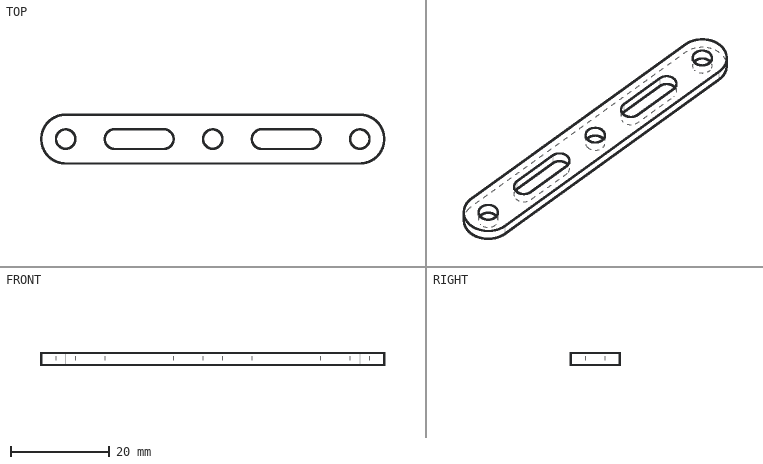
import cadquery as cq

length = 70.0
width = 10.0
thickness = 2.5

hole_diameter = 3.9
slot_length = 14.0
slot_width = 4.0

end_hole_x = (length - width) / 2
slot_x = end_hole_x / 2

bar = cq.Workplane("XY").slot2D(length, width).extrude(thickness)

holes = (
    cq.Workplane("XY")
    .pushPoints([(-end_hole_x, 0), (0, 0), (end_hole_x, 0)])
    .circle(hole_diameter / 2)
    .extrude(thickness)
)

slots = (
    cq.Workplane("XY")
    .pushPoints([(-slot_x, 0), (slot_x, 0)])
    .slot2D(slot_length, slot_width)
    .extrude(thickness)
)

result = bar.cut(holes).cut(slots).translate((0, 0, -thickness / 2))